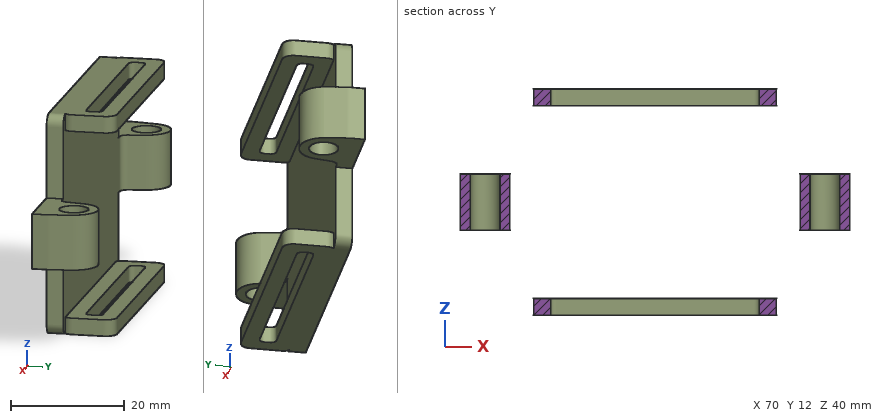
import cadquery as cq
import math

plate_width = 46.0
plate_height = 40.0
plate_thickness = 3.0
plate_corner_radius = 2.0

flange_width = 43.0
flange_depth = 12.0
flange_thickness = 3.0
flange_corner_radius = 2.0
flange_root_width = plate_width - 2 * plate_corner_radius
flange_root_radius = 2.0

slot_length = 37.0
slot_width = 3.0
slot_corner_radius = 1.0
slot_center_y = 7.5

overall_length = 70.0
ear_height = 10.0
ear_radius = 4.35
ear_hole_diameter = 5.2
ear_center_x = 30.0
ear_center_y = 6.5
ear_outer_edge_radius = 2.7
ear_inner_fillet_radius = 1.5


def make_plate():
    """Flat plate with rounded corners."""
    plate = cq.Workplane("XY").box(plate_width, plate_thickness, plate_height, centered=(True, False, True))
    return plate.edges("|Y").fillet(plate_corner_radius)


def make_flange(bottom_z):
    """Slotted flange whose sides curve in to the flat part of the plate edge."""
    half_width = flange_width / 2
    half_root = flange_root_width / 2
    inset = half_width - half_root
    root_sweep = math.acos(1 - inset / flange_root_radius)
    root_top = plate_thickness + flange_root_radius * math.sin(root_sweep)
    mid_inset = flange_root_radius * (1 - math.cos(root_sweep / 2))
    mid_y = root_top - flange_root_radius * math.sin(root_sweep / 2)
    outline = (
        cq.Workplane("XY")
        .workplane(offset=bottom_z)
        .moveTo(-half_root, 0)
        .lineTo(half_root, 0)
        .lineTo(half_root, plate_thickness)
        .threePointArc((half_width - mid_inset, mid_y), (half_width, root_top))
        .lineTo(half_width, flange_depth)
        .lineTo(-half_width, flange_depth)
        .lineTo(-half_width, root_top)
        .threePointArc((mid_inset - half_width, mid_y), (-half_root, plate_thickness))
        .close()
    )
    flange = outline.extrude(flange_thickness)
    flange = flange.edges("|Z and >Y").fillet(flange_corner_radius)
    slot = (
        cq.Workplane("XY")
        .box(slot_length, slot_width, flange_thickness, centered=(True, True, False))
        .edges("|Z")
        .fillet(slot_corner_radius)
        .translate((0, slot_center_y, bottom_z))
    )
    return flange.cut(slot)


def make_ear():
    """Ear at the +X end: a round eye on flanks that flare down to the plate."""
    outer_x = overall_length / 2
    half_base = outer_x - ear_center_x
    inner_x = ear_center_x - half_base
    rise = ear_center_y - plate_thickness
    corner_distance = math.hypot(half_base, rise)
    flank_angle = math.atan2(rise, half_base) + math.asin(ear_radius / corner_distance)
    tangent_dx = ear_radius * math.sin(flank_angle)
    tangent_y = ear_center_y + ear_radius * math.cos(flank_angle)
    root_x = plate_width / 2 - plate_corner_radius
    ear = (
        cq.Workplane("XY")
        .workplane(offset=-ear_height / 2)
        .moveTo(root_x, 0)
        .lineTo(outer_x, 0)
        .lineTo(outer_x, plate_thickness)
        .lineTo(ear_center_x + tangent_dx, tangent_y)
        .threePointArc(
            (ear_center_x, ear_center_y + ear_radius),
            (ear_center_x - tangent_dx, tangent_y),
        )
        .lineTo(inner_x, plate_thickness)
        .lineTo(root_x, plate_thickness)
        .close()
        .extrude(ear_height)
    )
    outer_edge = cq.selectors.NearestToPointSelector((outer_x, plate_thickness, 0))
    inner_edge = cq.selectors.NearestToPointSelector((inner_x, plate_thickness, 0))
    ear = ear.edges("|Z").edges(outer_edge).fillet(ear_outer_edge_radius)
    ear = ear.edges("|Z").edges(inner_edge).fillet(ear_inner_fillet_radius)
    hole = (
        cq.Workplane("XY")
        .workplane(offset=-ear_height / 2)
        .center(ear_center_x, ear_center_y)
        .circle(ear_hole_diameter / 2)
        .extrude(ear_height)
    )
    return ear.cut(hole)


right_ear = make_ear()
left_ear = right_ear.mirror("YZ")
top_flange = make_flange(plate_height / 2 - flange_thickness)
bottom_flange = make_flange(-plate_height / 2)

result = make_plate().union(top_flange).union(bottom_flange).union(right_ear).union(left_ear)